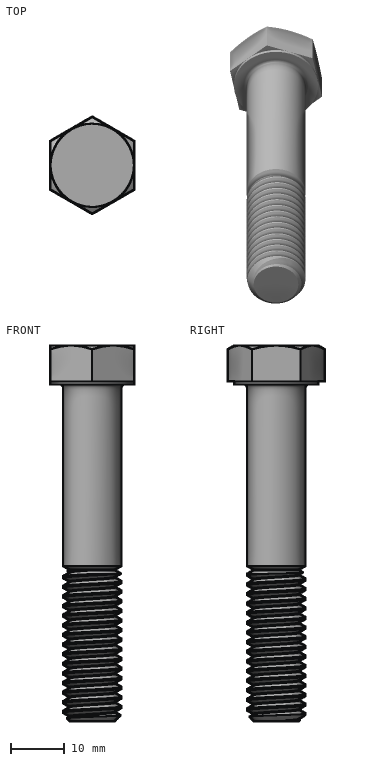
import cadquery as cq
import math

INCH = 25.4

major_diameter = 7 / 16 * INCH
pitch = INCH / 14
length = 2.5 * INCH
plain_shank_length = 34.2
hexagon_sides = 6
across_flats = 5 / 8 * INCH
head_height = 7.39
washer_face_height = 0.6
washer_face_diameter = across_flats
top_face_diameter = 15.7
head_chamfer_angle = 30
head_fillet_radius = 0.5
thread_angle = 60
groove_depth = 1.18
crest_width = 0.29
point_chamfer = 1.35

major_radius = major_diameter / 2
hexagon_half_angle = 180 / hexagon_sides
across_corners = across_flats / math.cos(math.radians(hexagon_half_angle))
flank_slope = math.tan(math.radians(thread_angle / 2))
groove_width = pitch - crest_width
root_width = groove_width - 2 * groove_depth * flank_slope
minor_radius = major_radius - groove_depth
neck_center_z = -plain_shank_length - groove_width / 2

cutter_overrun = 0.1


def groove_profile(center_z):
    """Points (radius, z) of the 60 degree thread groove, centred at center_z."""
    outer_radius = major_radius + cutter_overrun
    half_outer = groove_width / 2 + cutter_overrun * flank_slope
    half_root = root_width / 2
    return [
        (outer_radius, center_z - half_outer),
        (minor_radius, center_z - half_root),
        (minor_radius, center_z + half_root),
        (outer_radius, center_z + half_outer),
    ]


def make_head():
    """Hexagon with two flats facing X, a conical top chamfer and a round washer face."""
    hexagon = (
        cq.Workplane("XY")
        .workplane(offset=washer_face_height)
        .polygon(hexagon_sides, across_corners)
        .extrude(head_height - washer_face_height)
        .rotate((0, 0, 0), (0, 0, 1), hexagon_half_angle)
    )
    top_radius = top_face_diameter / 2
    cone_radius = top_radius + head_height / math.tan(math.radians(head_chamfer_angle))
    chamfer_cone = (
        cq.Workplane("XZ")
        .polyline([(0, 0), (cone_radius, 0), (top_radius, head_height), (0, head_height)])
        .close()
        .revolve(360, (0, 0), (0, 1))
    )
    washer_face = cq.Workplane("XY").circle(washer_face_diameter / 2).extrude(washer_face_height)
    return hexagon.intersect(chamfer_cone).union(washer_face)


def make_shank():
    """Round shank with a fillet under the head and a 45 degree chamfer at the point."""
    fillet_center = (major_radius + head_fillet_radius, -head_fillet_radius)
    fillet_reach = head_fillet_radius * math.sqrt(0.5)
    fillet_middle = (fillet_center[0] - fillet_reach, fillet_center[1] + fillet_reach)
    return (
        cq.Workplane("XZ")
        .moveTo(0, 0)
        .lineTo(major_radius + head_fillet_radius, 0)
        .threePointArc(fillet_middle, (major_radius, -head_fillet_radius))
        .lineTo(major_radius, -length + point_chamfer)
        .lineTo(major_radius - point_chamfer, -length)
        .lineTo(0, -length)
        .close()
        .revolve(360, (0, 0), (0, 1))
    )


def make_neck_groove():
    """Ring groove of the thread profile where the thread runs out at the plain shank."""
    return cq.Workplane("XZ").polyline(groove_profile(neck_center_z)).close().revolve(360, (0, 0), (0, 1))


def make_thread_groove():
    """Right-hand helical groove from below the point up into the neck groove on the -Y side."""
    turns = math.ceil((length + neck_center_z) / pitch) + 1
    helix_height = turns * pitch
    start_z = neck_center_z - helix_height
    helix = cq.Wire.makeHelix(pitch, helix_height, major_radius, center=cq.Vector(0, 0, start_z))
    profile = cq.Workplane("XZ").polyline(groove_profile(start_z)).close()
    groove = profile.sweep(cq.Workplane(helix), isFrenet=True)
    return groove.rotate((0, 0, 0), (0, 0, 1), -90)


shank = make_shank().cut(make_thread_groove()).cut(make_neck_groove())
result = make_head().union(shank)